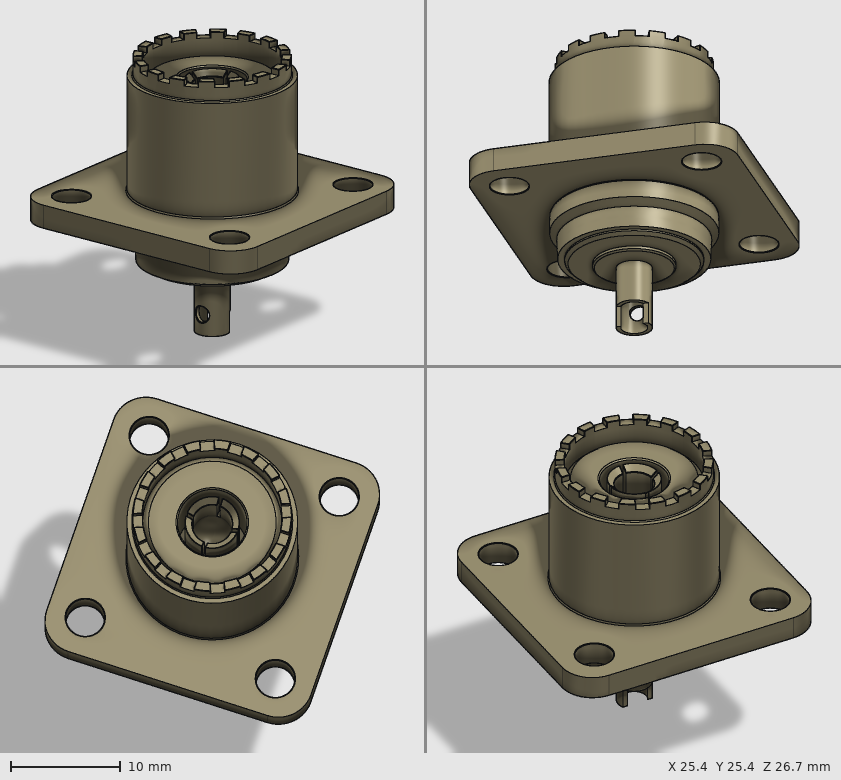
import cadquery as cq
import math


total_height = 26.65
notch_depth = 0.59
shoulder_z = 24.72
insulator_top_z = 24.5
flange_top_z = 13.59
flange_thickness = 2.25
collar_bottom_z = 9.56
skirt_top_z = 8.9
skirt_bottom_z = 6.93
insulator_bottom_z = 6.45
boss_bottom_z = 6.02

flange_size = 25.4
flange_corner_radius = 3.12
mount_hole_diameter = 3.55
mount_hole_spacing = 18.28
mount_hole_chamfer = 0.067

barrel_diameter = 15.55
barrel_root_chamfer_width = 0.1
barrel_root_chamfer_height = 0.15
crown_diameter = 14.47
crown_root_chamfer = 0.1
neck_diameter = 15.25
neck_height = 0.1
collar_diameter = 15.42
skirt_top_diameter = 14.15
skirt_bottom_diameter = 13.95

notch_count = 16
notch_width = 1.25
tooth_chamfer = 0.05

insulator_diameter = 12.7
insulator_top_chamfer = 0.53
insulator_bottom_chamfer = 0.32
boss_diameter = 7.62
boss_chamfer = 0.15
recess_diameter = 6.35
recess_mouth_chamfer = 0.13
recess_floor_z = 16.52

socket_diameter = 4.95
socket_bore_diameter = 3.68
socket_mouth_depth = 0.59
socket_bore_depth = 4.0
socket_slot_width = 0.3
socket_slot_depth = 4.0
finger_chamfer = 0.05
tail_diameter = 3.3
cup_bore_diameter = 2.45
cup_bore_depth = 4.0
cup_opening_y = 0.65
cup_opening_height = 2.02
cup_hole_diameter = 1.52
cup_hole_z = 2.02
cup_hole_chamfer = 0.08

flange_bottom_z = flange_top_z - flange_thickness


def revolve_profile(points):
    """Solid of revolution about Z from an outline of (radius, z) points."""
    return cq.Workplane("XZ").polyline(points).close().revolve(360, (0, 0), (0, 1))


def make_flange():
    plate = (
        cq.Workplane("XY", origin=(0, 0, flange_bottom_z))
        .rect(flange_size, flange_size)
        .extrude(flange_thickness)
        .edges("|Z")
        .fillet(flange_corner_radius)
    )
    return (
        plate.faces(">Z").workplane()
        .rect(mount_hole_spacing, mount_hole_spacing, forConstruction=True)
        .vertices()
        .hole(mount_hole_diameter)
        .edges("%CIRCLE")
        .edges(cq.selectors.RadiusNthSelector(0))
        .chamfer(mount_hole_chamfer)
    )


def cut_crown_notches(body):
    """Cut straight slots across the rim; each slot makes two opposite notches."""
    for index in range(notch_count // 2):
        slot = (
            cq.Workplane("XY", origin=(0, 0, total_height - notch_depth))
            .rect(barrel_diameter, notch_width)
            .extrude(notch_depth)
            .rotate((0, 0, 0), (0, 0, 1), index * 360 / notch_count)
        )
        body = body.cut(slot)
    return body


def make_housing():
    barrel_radius = barrel_diameter / 2
    crown_radius = crown_diameter / 2
    turned_body = revolve_profile([
        (0, total_height),
        (crown_radius, total_height),
        (crown_radius, shoulder_z + crown_root_chamfer),
        (crown_radius + crown_root_chamfer, shoulder_z),
        (barrel_radius, shoulder_z),
        (barrel_radius, flange_top_z + barrel_root_chamfer_height),
        (barrel_radius + barrel_root_chamfer_width, flange_top_z),
        (neck_diameter / 2, flange_bottom_z),
        (neck_diameter / 2, flange_bottom_z - neck_height),
        (collar_diameter / 2, flange_bottom_z - neck_height),
        (collar_diameter / 2, collar_bottom_z),
        (skirt_top_diameter / 2, skirt_top_z),
        (skirt_bottom_diameter / 2, skirt_bottom_z),
        (0, skirt_bottom_z),
    ])
    bore = (
        cq.Workplane("XY", origin=(0, 0, skirt_bottom_z))
        .circle(insulator_diameter / 2)
        .extrude(total_height - skirt_bottom_z)
    )
    crown = cut_crown_notches(turned_body.union(make_flange()).cut(bore))
    upright_edges = crown.edges("|Z").edges(">Z")
    return crown.faces(">Z").edges().add(upright_edges).chamfer(tooth_chamfer)


def make_insulator():
    outer_radius = insulator_diameter / 2
    boss_radius = boss_diameter / 2
    recess_radius = recess_diameter / 2
    tail_radius = tail_diameter / 2
    return revolve_profile([
        (tail_radius, boss_bottom_z),
        (boss_radius - boss_chamfer, boss_bottom_z),
        (boss_radius, boss_bottom_z + boss_chamfer),
        (boss_radius, insulator_bottom_z),
        (outer_radius - insulator_bottom_chamfer, insulator_bottom_z),
        (outer_radius, insulator_bottom_z + insulator_bottom_chamfer),
        (outer_radius, insulator_top_z - insulator_top_chamfer),
        (outer_radius - insulator_top_chamfer, insulator_top_z),
        (recess_radius + recess_mouth_chamfer, insulator_top_z),
        (recess_radius, insulator_top_z - recess_mouth_chamfer),
        (recess_radius, recess_floor_z),
        (tail_radius, recess_floor_z),
    ])


def make_socket_bore():
    """Round-bottomed bore with a flared mouth."""
    bore_radius = socket_bore_diameter / 2
    bore_end_z = insulator_top_z - socket_bore_depth
    arc_offset = bore_radius * math.sqrt(0.5)
    return (
        cq.Workplane("XZ")
        .moveTo(0, insulator_top_z)
        .lineTo(socket_diameter / 2, insulator_top_z)
        .lineTo(bore_radius, insulator_top_z - socket_mouth_depth)
        .lineTo(bore_radius, bore_end_z)
        .threePointArc((arc_offset, bore_end_z - arc_offset), (0, bore_end_z - bore_radius))
        .close()
        .revolve(360, (0, 0), (0, 1))
    )


def cut_socket_fingers(contact):
    """Crossed slots split the socket into four spring fingers with broken edges."""
    slot_base = cq.Workplane("XY", origin=(0, 0, insulator_top_z - socket_slot_depth))
    for length_x, length_y in (
        (socket_diameter, socket_slot_width),
        (socket_slot_width, socket_diameter),
    ):
        contact = contact.cut(slot_base.rect(length_x, length_y).extrude(socket_slot_depth))
    upright_edges = contact.edges("|Z").edges(">Z")
    return contact.faces(">Z").edges().add(upright_edges).chamfer(finger_chamfer)


def cut_solder_cup(contact):
    """Axial bore, open on the +Y side, with a chamfered cross hole through the -Y wall."""
    cup_bore = cq.Workplane("XY").circle(cup_bore_diameter / 2).extrude(cup_bore_depth)
    cup_opening = (
        cq.Workplane("XY", origin=(0, cup_opening_y, 0))
        .box(tail_diameter, tail_diameter, cup_opening_height, centered=(True, False, False))
    )
    cup_hole = (
        cq.Workplane("XZ", origin=(0, 0, cup_hole_z))
        .circle(cup_hole_diameter / 2)
        .extrude(tail_diameter)
    )
    contact = contact.cut(cup_bore).cut(cup_opening).cut(cup_hole)
    hole_rim = cq.selectors.BoxSelector(
        (-cup_hole_diameter, -tail_diameter / 2, cup_hole_z - cup_hole_diameter),
        (cup_hole_diameter, -cup_bore_diameter / 2, cup_hole_z + cup_hole_diameter),
    )
    return contact.edges(hole_rim).chamfer(cup_hole_chamfer)


def make_contact():
    tail_radius = tail_diameter / 2
    contact = revolve_profile([
        (0, 0),
        (tail_radius, 0),
        (tail_radius, recess_floor_z),
        (socket_diameter / 2, recess_floor_z),
        (socket_diameter / 2, insulator_top_z),
        (0, insulator_top_z),
    ])
    contact = cut_socket_fingers(contact.cut(make_socket_bore()))
    return cut_solder_cup(contact)


housing = make_housing()
insulator = make_insulator()
contact = make_contact()

result = cq.Compound.makeCompound([housing.val(), insulator.val(), contact.val()])